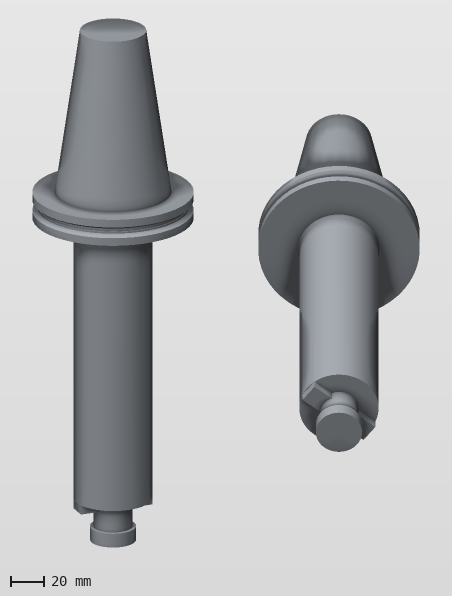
import cadquery as cq
import math

total_height = 328.8

taper_small_diameter = 40.0
taper_large_diameter = 70.7
taper_length = 104.2

flange_diameter = 97.5
flange_height = 16.8
groove_diameter = 91.5
groove_flank_angle = 30.0
groove_mouth_width = 7.0
slot_width = 1.0
slot_depth = 0.5

body_diameter = 48.0
neck_diameter = 49.3
neck_height = 3.3
pilot_diameter = 23.5
pilot_length = 27.3
head_diameter = 28.0
head_height = 9.0

key_width = 11.8
key_height = 6.0
key_span = 46.7

flange_top = total_height - taper_length
flange_bottom = flange_top - flange_height
groove_middle = (flange_top + flange_bottom) / 2


def cylinder(diameter, bottom, top):
    return cq.Workplane("XY").workplane(offset=bottom).circle(diameter / 2).extrude(top - bottom)


def make_shank():
    """Tapered shank standing on the flange."""
    return (
        cq.Workplane("XZ")
        .moveTo(0, flange_top)
        .lineTo(taper_large_diameter / 2, flange_top)
        .lineTo(taper_small_diameter / 2, total_height)
        .lineTo(0, total_height)
        .close()
        .revolve(360, (0, 0, 0), (0, 1, 0))
    )


def make_flange():
    """Disc with a V-flanked groove, with a narrow slot in its floor, around its rim."""
    rim_radius = flange_diameter / 2
    floor_radius = groove_diameter / 2
    depth = rim_radius - floor_radius
    floor_half_width = groove_mouth_width / 2 - depth * math.tan(math.radians(groove_flank_angle))
    slot_radius = floor_radius - slot_depth
    slot_half_width = slot_width / 2
    return (
        cq.Workplane("XZ")
        .moveTo(0, flange_bottom)
        .lineTo(rim_radius, flange_bottom)
        .lineTo(rim_radius, groove_middle - groove_mouth_width / 2)
        .lineTo(floor_radius, groove_middle - floor_half_width)
        .lineTo(floor_radius, groove_middle - slot_half_width)
        .lineTo(slot_radius, groove_middle - slot_half_width)
        .lineTo(slot_radius, groove_middle + slot_half_width)
        .lineTo(floor_radius, groove_middle + slot_half_width)
        .lineTo(floor_radius, groove_middle + floor_half_width)
        .lineTo(rim_radius, groove_middle + groove_mouth_width / 2)
        .lineTo(rim_radius, flange_top)
        .lineTo(0, flange_top)
        .close()
        .revolve(360, (0, 0, 0), (0, 1, 0))
    )


def make_keys():
    """Bar across the body face; its two ends project beyond the pilot."""
    return (
        cq.Workplane("XY")
        .workplane(offset=pilot_length - key_height)
        .rect(key_width, key_span)
        .extrude(key_height)
    )


def make_neck():
    """Short cone that narrows from the flange to the body."""
    return (
        cq.Workplane("XZ")
        .moveTo(0, flange_bottom)
        .lineTo(neck_diameter / 2, flange_bottom)
        .lineTo(body_diameter / 2, flange_bottom - neck_height)
        .lineTo(0, flange_bottom - neck_height)
        .close()
        .revolve(360, (0, 0, 0), (0, 1, 0))
    )


body = cylinder(body_diameter, pilot_length, flange_bottom)
pilot = cylinder(pilot_diameter, head_height, pilot_length)
head = cylinder(head_diameter, 0, head_height)

result = make_shank().union(make_flange()).union(make_neck())
result = result.union(body).union(make_keys()).union(pilot).union(head)